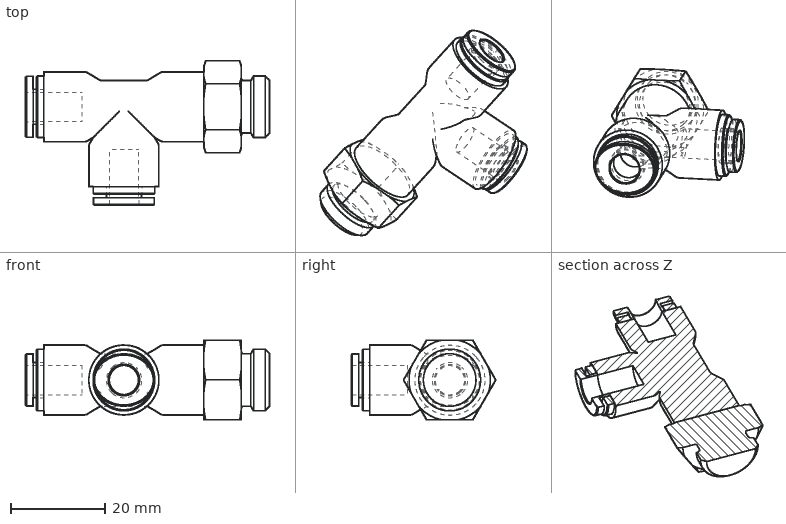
import cadquery as cq
import math


arm_length = 17.0
arm_diameter = 14.9
waist_diameter = 11.2
cone_start = 4.95
cone_end = 8.05
waist_fillet = 1.0
shoulder_fillet = 1.2
edge_tolerance = 0.1

tube_diameter = 6.2
port_length = 20.955
tube_floor = 9.0

collar_diameter = 13.15
collar_outer = 18.6
collar_chamfer = 0.25

neck_diameter = 7.5
flange_width = 13.0
flange_height = 11.1
flange_thickness = 1.65
flange_chamfer = 0.25
mouth_chamfer = 0.2
lead_in_diameter = 6.3
lead_in_length = 2.4
sleeve_end = 17.0

hex_flats = 17.0
hex_length = 8.0
hex_face_diameter = 17.3
hex_chamfer_depth = 0.4
hex_turn = 90.0
hex_half_angle = 30.0
thread_diameter = 13.16
relief_diameter = 11.2
relief_length = 2.0
relief_fillet = 0.4
relief_flank_angle = 30.0
connector_end = 31.0

port_angles = [180, -90]
arm_angles = [0] + port_angles


def rod(diameter, start, end):
    """Cylinder on the X axis between two stations."""
    return cq.Workplane("YZ", origin=(start, 0, 0)).circle(diameter / 2).extrude(end - start)


def turn(body, angle):
    """Swing a body built along +X to the direction of its arm."""
    return body.rotate((0, 0, 0), (0, 0, 1), angle)


def ring_at(station):
    """Selector for the round edge of an arm at a station along X."""
    near = station - edge_tolerance
    far = station + edge_tolerance
    return cq.selectors.BoxSelector(
        (near, -arm_diameter, -arm_diameter),
        (far, arm_diameter, arm_diameter),
    )


def tee_arm():
    """Waist, cone and barrel of one arm, with both cone corners rounded."""
    barrel_radius = arm_diameter / 2
    waist_radius = waist_diameter / 2
    arm = (
        cq.Workplane("XY")
        .polyline([
            (0, 0),
            (0, waist_radius),
            (cone_start, waist_radius),
            (cone_end, barrel_radius),
            (arm_length, barrel_radius),
            (arm_length, 0),
        ])
        .close()
        .revolve(360, (0, 0, 0), (1, 0, 0))
    )
    arm = arm.edges(ring_at(cone_start)).fillet(waist_fillet)
    return arm.edges(ring_at(cone_end)).fillet(shoulder_fillet)


def make_tee():
    """Three joined arms with a blind tube bore in each push-in port."""
    tee = turn(tee_arm(), arm_angles[0])
    for angle in arm_angles[1:]:
        tee = tee.union(turn(tee_arm(), angle))
    for angle in port_angles:
        tee = tee.cut(turn(rod(tube_diameter, tube_floor, arm_length), angle))
    return tee


def make_collar():
    """Ring seated on the end face of a port arm, around the sleeve neck."""
    collar = rod(collar_diameter, arm_length, collar_outer)
    collar = collar.faces(">X").chamfer(collar_chamfer)
    return collar.cut(rod(neck_diameter, arm_length, collar_outer))


def make_sleeve():
    """Release sleeve: oval flange, round neck and tapered bore mouth."""
    flange_start = port_length - flange_thickness
    flange = (
        cq.Workplane("YZ", origin=(flange_start, 0, 0))
        .ellipse(flange_width / 2, flange_height / 2)
        .extrude(flange_thickness)
        .faces(">X")
        .chamfer(flange_chamfer)
    )
    sleeve = flange.union(rod(neck_diameter, sleeve_end, flange_start))
    lead_in = (
        cq.Workplane("XY")
        .polyline([
            (port_length - lead_in_length, 0),
            (port_length - lead_in_length, tube_diameter / 2),
            (port_length, lead_in_diameter / 2),
            (port_length, 0),
        ])
        .close()
        .revolve(360, (0, 0, 0), (1, 0, 0))
    )
    sleeve = sleeve.cut(rod(tube_diameter, sleeve_end, port_length)).cut(lead_in)
    return sleeve.faces(">X").edges("%CIRCLE").chamfer(mouth_chamfer)


def make_hexagon():
    """Hexagon with its corners turned down at both ends."""
    hexagon = (
        cq.Workplane("YZ", origin=(arm_length, 0, 0))
        .polygon(6, hex_flats, circumscribed=True)
        .extrude(hex_length)
        .rotate((0, 0, 0), (1, 0, 0), hex_turn)
    )
    hex_end = arm_length + hex_length
    corner_radius = hex_flats / 2 / math.cos(math.radians(hex_half_angle))
    face_radius = hex_face_diameter / 2
    chamfer_envelope = (
        cq.Workplane("XY")
        .polyline([
            (arm_length, 0),
            (arm_length, face_radius),
            (arm_length + hex_chamfer_depth, corner_radius),
            (hex_end - hex_chamfer_depth, corner_radius),
            (hex_end, face_radius),
            (hex_end, 0),
        ])
        .close()
        .revolve(360, (0, 0, 0), (1, 0, 0))
    )
    return hexagon.intersect(chamfer_envelope)


def make_connector():
    """Hexagon with a plain thread spigot behind a relief groove."""
    hex_end = arm_length + hex_length
    thread_radius = thread_diameter / 2
    relief_radius = relief_diameter / 2
    thread_depth = thread_radius - relief_radius
    relief_end = hex_end + relief_length
    flank_length = thread_depth * math.tan(math.radians(relief_flank_angle))
    spigot = (
        cq.Workplane("XY")
        .moveTo(hex_end, 0)
        .lineTo(hex_end, relief_radius + relief_fillet)
        .radiusArc((hex_end + relief_fillet, relief_radius), -relief_fillet)
        .lineTo(relief_end, relief_radius)
        .lineTo(relief_end + flank_length, thread_radius)
        .lineTo(connector_end - thread_depth, thread_radius)
        .lineTo(connector_end, relief_radius)
        .lineTo(connector_end, 0)
        .close()
        .revolve(360, (0, 0, 0), (1, 0, 0))
    )
    return make_hexagon().union(spigot)


tee = make_tee()
connector = make_connector()
collars = [turn(make_collar(), angle) for angle in port_angles]
sleeves = [turn(make_sleeve(), angle) for angle in port_angles]

result = cq.Compound.makeCompound([
    tee.val(),
    connector.val(),
    *[collar.val() for collar in collars],
    *[sleeve.val() for sleeve in sleeves],
])